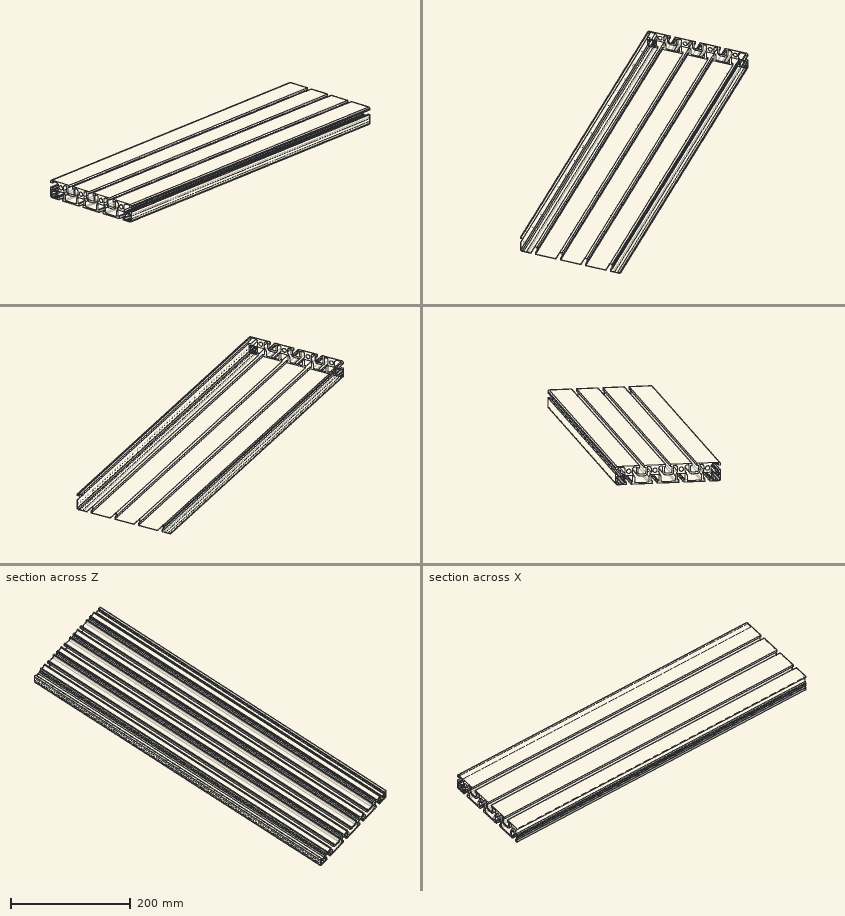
import cadquery as cq

width = 180.0
length = 609.5
height = 32.0
edge_chamfer = 2.15

pitch = width / 4
slot_opening = 8.5
slot_width = 13.5
lower_slot_depth = 15.0
upper_slot_depth = 14.5
slot_lip = 3.95
upper_slot_fillet = 2.5
lower_slot_centres = [-1.5 * pitch, -0.5 * pitch, 0.5 * pitch, 1.5 * pitch]
upper_slot_centres = [-pitch, 0, pitch]

side_slot_height = 14.5
side_slot_depth = 16.5
side_slot_z = 22.5
side_slot_chamfer = 3.0

skin = 2.5
channel_wall = 2.75
channel_floor = 3.35
channel_fillet = 5.8
lower_wall = 3.5

core_width = 13.0
core_bore = 7.5
core_z = side_slot_z

chamber_roof_fillet = 3.5
flare_bottom_z = 11.5
flare_top_z = 19.5
chamber_floor_fillet = 2.0

corner_wall = 1.5
corner_side_wall = 2.0
corner_size = 13.0
corner_fillet = 1.0
corner_rib_width = 5.0
corner_rib_height = 1.0


def bar(x_centre, z_bottom, x_size, z_size):
    """Full-length rectangular bar."""
    block = cq.Workplane("XY").box(x_size, length, z_size, centered=(True, True, False))
    return block.translate((x_centre, 0, z_bottom))


def lower_slot():
    """T-slot open at the bottom face."""
    mouth = bar(0, 0, slot_opening, slot_lip)
    return mouth.union(bar(0, slot_lip, slot_width, lower_slot_depth - slot_lip))


def upper_slot():
    """T-slot open at the top face, with a rounded floor."""
    room_height = upper_slot_depth - slot_lip
    room = bar(0, height - upper_slot_depth, slot_width, room_height)
    mouth = bar(0, height - slot_lip, slot_opening, slot_lip)
    return room.edges("|Y and <Z").fillet(upper_slot_fillet).union(mouth)


def side_slot():
    """T-slot open at the right-hand side, chamfered at its innermost corners."""
    room_depth = side_slot_depth - slot_lip
    room_x = width / 2 - slot_lip - room_depth / 2
    room = bar(room_x, side_slot_z - side_slot_height / 2, room_depth, side_slot_height)
    room = room.edges("|Y and <X").chamfer(side_slot_chamfer)
    mouth = bar(width / 2 - slot_lip / 2, side_slot_z - slot_opening / 2, slot_lip, slot_opening)
    return room.union(mouth)


def chamber():
    """Hollow between two neighbouring cores, wrapped around the channel of an upper slot."""
    core_face = (pitch - core_width) / 2
    wall_face = (pitch - slot_width) / 2 - lower_wall
    roof_z = height - skin
    right_side = [
        (wall_face, skin),
        (wall_face, flare_bottom_z),
        (core_face, flare_top_z),
        (core_face, roof_z),
    ]
    left_side = [(-x, z) for x, z in reversed(right_side)]
    outline = cq.Workplane("XZ").polyline(right_side + left_side).close()
    hollow = outline.extrude(length / 2, both=True)
    hollow = hollow.edges("|Y and <Z").fillet(chamber_floor_fillet)
    hollow = hollow.edges("|Y and >Z").fillet(chamber_roof_fillet)
    channel_height = upper_slot_depth + channel_floor
    channel = bar(0, height - channel_height, slot_width + 2 * channel_wall, channel_height)
    channel = channel.edges("|Y and <Z").fillet(channel_fillet)
    return hollow.cut(channel)


def corner_chamber():
    """Square hollow under the right-hand side slot, with a low rib along the middle of each wall."""
    centre_x = width / 2 - corner_side_wall - corner_size / 2
    centre_z = corner_wall + corner_size / 2
    hollow = bar(0, -corner_size / 2, corner_size, corner_size).edges("|Y").fillet(corner_fillet)
    rib = bar(0, corner_size / 2 - corner_rib_height, corner_rib_width, corner_rib_height)
    for side in range(4):
        hollow = hollow.cut(rib.rotate((0, 0, 0), (0, 1, 0), side * 90))
    return hollow.translate((centre_x, 0, centre_z))


def core_hole():
    """Round hole through the whole length of a screw core."""
    return cq.Workplane("XZ").center(0, core_z).circle(core_bore / 2).extrude(length / 2, both=True)


result = bar(0, 0, width, height).edges("|Y").chamfer(edge_chamfer)

for x in lower_slot_centres:
    result = result.cut(lower_slot().translate((x, 0, 0))).cut(core_hole().translate((x, 0, 0)))

for x in upper_slot_centres:
    result = result.cut(upper_slot().translate((x, 0, 0))).cut(chamber().translate((x, 0, 0)))

for side_cut in (side_slot(), corner_chamber()):
    result = result.cut(side_cut).cut(side_cut.mirror("YZ"))